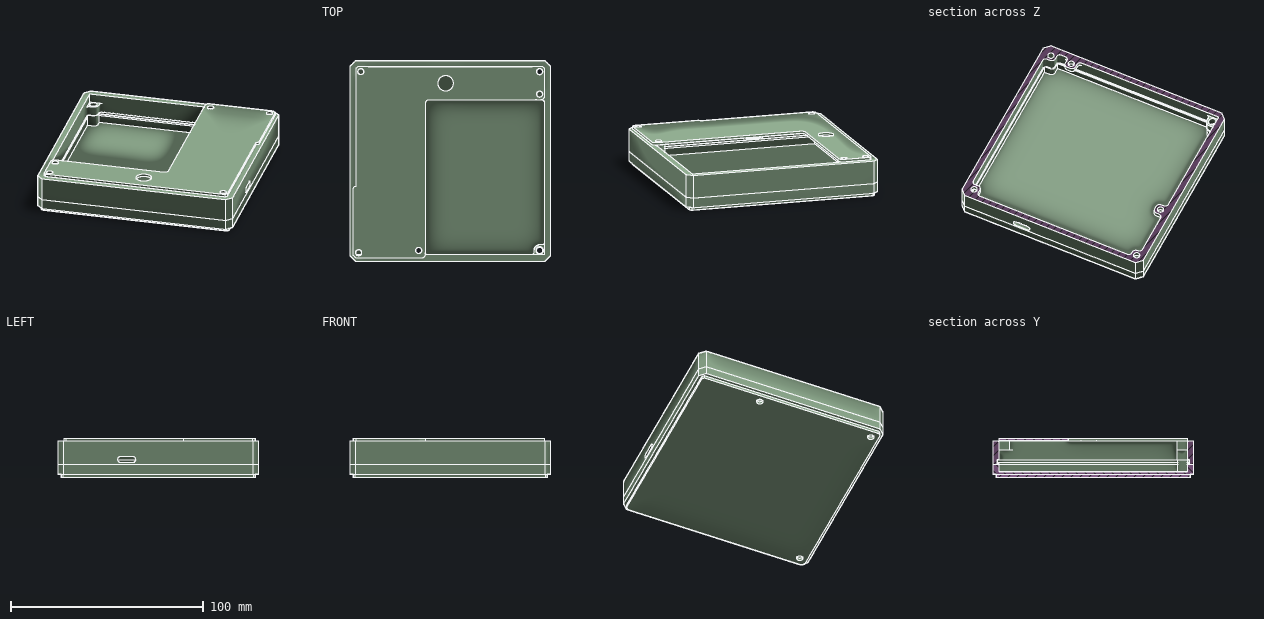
import cadquery as cq
import math

CASE_SIDE = 104.5
CASE_HALF = CASE_SIDE / 2
CASE_CHAMFER = 3.0

PLATE_THICK = 1.8
TRAY_HEIGHT = 5.2
RING_HEIGHT = 12.1
COVER_THICK = 1.4

TRAY_Z = PLATE_THICK
SEAM_Z = TRAY_Z + TRAY_HEIGHT
RIM_Z = SEAM_Z + RING_HEIGHT

WALL = 3.2
SOUTH_WALL = 3.6
EAST_FACE = CASE_HALF - WALL
NORTH_FACE = CASE_HALF - WALL
WEST_FACE = -CASE_HALF + WALL
SOUTH_FACE = -CASE_HALF + SOUTH_WALL
FLOOR_THICK = 1.5
FLOOR_Z = TRAY_Z + FLOOR_THICK

LIP_THICK = 0.4
LIP_CLEARANCE = 0.4
LIP_HEIGHT = 1.0
RECESS_HEIGHT = 2.3
LIP_Z = SEAM_Z + LIP_HEIGHT
RECESS_Z = SEAM_Z + RECESS_HEIGHT

PLATE_INSET = 1.8
PLATE_HALF = CASE_HALF - PLATE_INSET
PLATE_CHAMFER = 1.0

COVER_EDGE = 49.1
COVER_WIDE_EDGE = PLATE_HALF
COVER_STEP_Y = -13.2
COVER_LEG_X = -13.0
COVER_ARM_Y = 31.9
COVER_CHAMFER = 1.0
COVER_WIDE_CHAMFER = 1.5
COVER_FILLET = 2.0
COVER_STEP_FILLET = 1.3
WINDOW_DIAMETER = 8.0
WINDOW_CENTER = (-2.4, 40.5)

SCREW_OFFSET = 46.5
SOUTH_WEST_OFFSET = 47.7
NORTH_WEST = (-SCREW_OFFSET, SCREW_OFFSET)
NORTH_EAST = (SCREW_OFFSET, SCREW_OFFSET)
EAST = (SCREW_OFFSET, 34.8)
SOUTH_WEST = (-SOUTH_WEST_OFFSET, -SOUTH_WEST_OFFSET)
SOUTH = (-16.4, -SCREW_OFFSET)
SOUTH_EAST = (SCREW_OFFSET, -SCREW_OFFSET)
COVER_SCREWS = (NORTH_WEST, NORTH_EAST, EAST, SOUTH_WEST, SOUTH)
CASE_SCREWS = (NORTH_EAST, SOUTH_EAST, SOUTH)

COVER_HOLE_DIAMETER = 3.2
PILOT_DIAMETER = 3.0
CASE_HOLE_DIAMETER = 3.2
INSERT_DIAMETER = 4.0

COVER_BOSS = (3.0, 2.1, 1.6)
INSERT_BOSS = (3.0, 3.0, 1.0)
TRAY_BOSS = (2.6, 2.1, 0.0)
BOSS_LENGTH = 4.7
BOSS_END_Z = RIM_Z - BOSS_LENGTH

SLOT_LENGTH = 9.4
SLOT_HEIGHT = 3.1
SLOT_Y = 16.4
SLOT_Z = 9.5


def chamfered_block(half, chamfer, z_bottom, z_top):
    block = cq.Workplane("XY").workplane(offset=z_bottom).rect(2 * half, 2 * half).extrude(z_top - z_bottom)
    return block.edges("|Z").chamfer(chamfer)


def cavity(z_bottom, z_top, margin=0.0):
    """Space between the wall faces, widened on all sides by the margin."""
    size_x = EAST_FACE - WEST_FACE + 2 * margin
    size_y = NORTH_FACE - SOUTH_FACE + 2 * margin
    middle = ((EAST_FACE + WEST_FACE) / 2, (NORTH_FACE + SOUTH_FACE) / 2)
    start = cq.Workplane("XY").workplane(offset=z_bottom).center(*middle)
    return start.rect(size_x, size_y).extrude(z_top - z_bottom)


def hole(center, diameter, z_bottom, z_top):
    start = cq.Workplane("XY").workplane(offset=z_bottom).center(*center)
    return start.circle(diameter / 2).extrude(z_top - z_bottom)


def add_quarter_arc(path, start, end, center):
    """Continue the path from start to end with a quarter circle about the center."""
    if start == end:
        return path
    middle_x = center[0] + (start[0] + end[0] - 2 * center[0]) * math.sqrt(0.5)
    middle_y = center[1] + (start[1] + end[1] - 2 * center[1]) * math.sqrt(0.5)
    return path.threePointArc((middle_x, middle_y), end)


def corner_boss(center, shape, z_bottom, z_top):
    """Boss that fills a corner of the cavity: one rounded corner, and a flare at each wall."""
    half, corner, flare = shape
    side_x = math.copysign(1, center[0])
    side_y = math.copysign(1, center[1])
    wall_x = EAST_FACE if side_x > 0 else WEST_FACE
    wall_y = NORTH_FACE if side_y > 0 else SOUTH_FACE
    face_x = center[0] - side_x * half
    face_y = center[1] - side_y * half
    round_x = face_x + side_x * corner
    round_y = face_y + side_y * corner
    flare_x = side_x * flare
    flare_y = side_y * flare

    path = cq.Workplane("XY").workplane(offset=z_bottom).moveTo(wall_x, wall_y)
    path = path.lineTo(wall_x, face_y - flare_y)
    path = add_quarter_arc(
        path, (wall_x, face_y - flare_y), (wall_x - flare_x, face_y), (wall_x - flare_x, face_y - flare_y)
    )
    path = path.lineTo(round_x, face_y)
    path = add_quarter_arc(path, (round_x, face_y), (face_x, round_y), (round_x, round_y))
    path = path.lineTo(face_x, wall_y - flare_y)
    path = add_quarter_arc(
        path, (face_x, wall_y - flare_y), (face_x - flare_x, wall_y), (face_x - flare_x, wall_y - flare_y)
    )
    return path.close().extrude(z_top - z_bottom)


def side_boss(center, shape, reach, turn, z_bottom, z_top):
    """Boss that stands out from one wall; turn is the direction of that wall, in degrees from +X."""
    half, corner, flare = shape
    tip = -half
    round_x = tip + corner
    round_y = half - corner
    flare_x = reach - flare
    flare_y = half + flare

    path = cq.Workplane("XY").moveTo(reach, -flare_y)
    path = add_quarter_arc(path, (reach, -flare_y), (flare_x, -half), (flare_x, -flare_y))
    path = path.lineTo(round_x, -half)
    path = add_quarter_arc(path, (round_x, -half), (tip, -round_y), (round_x, -round_y))
    path = path.lineTo(tip, round_y)
    path = add_quarter_arc(path, (tip, round_y), (round_x, half), (round_x, round_y))
    path = path.lineTo(flare_x, half)
    path = add_quarter_arc(path, (flare_x, half), (reach, flare_y), (flare_x, flare_y))
    boss = path.close().extrude(z_top - z_bottom)
    return boss.rotate((0, 0, 0), (0, 0, 1), turn).translate((center[0], center[1], z_bottom))


def make_plate():
    plate = chamfered_block(PLATE_HALF, PLATE_CHAMFER, 0, PLATE_THICK)
    for center in CASE_SCREWS:
        plate = plate.cut(hole(center, CASE_HOLE_DIAMETER, 0, PLATE_THICK))
    return plate


def make_tray():
    tray = chamfered_block(CASE_HALF, CASE_CHAMFER, TRAY_Z, SEAM_Z)
    tray = tray.union(cavity(SEAM_Z, LIP_Z, LIP_THICK))
    tray = tray.cut(cavity(FLOOR_Z, LIP_Z))
    for center in (NORTH_EAST, SOUTH_EAST):
        tray = tray.union(corner_boss(center, TRAY_BOSS, FLOOR_Z, RECESS_Z))
    for center in CASE_SCREWS:
        tray = tray.cut(hole(center, CASE_HOLE_DIAMETER, TRAY_Z, RECESS_Z))
    return tray


def make_ring():
    ring = chamfered_block(CASE_HALF, CASE_CHAMFER, SEAM_Z, RIM_Z)
    ring = ring.cut(cavity(SEAM_Z, RECESS_Z, LIP_THICK + LIP_CLEARANCE))
    ring = ring.cut(cavity(RECESS_Z, RIM_Z))

    for center in (NORTH_WEST, SOUTH_WEST):
        ring = ring.union(corner_boss(center, COVER_BOSS, BOSS_END_Z, RIM_Z))
    ring = ring.union(corner_boss(NORTH_EAST, COVER_BOSS, RECESS_Z, RIM_Z))
    ring = ring.union(side_boss(EAST, COVER_BOSS, EAST_FACE - EAST[0], 0, BOSS_END_Z, RIM_Z))
    ring = ring.union(side_boss(SOUTH, COVER_BOSS, SOUTH[1] - SOUTH_FACE, -90, BOSS_END_Z, RIM_Z))
    ring = ring.union(corner_boss(SOUTH_EAST, INSERT_BOSS, RECESS_Z, BOSS_END_Z))

    for center in COVER_SCREWS:
        ring = ring.cut(hole(center, PILOT_DIAMETER, RECESS_Z, RIM_Z))
    ring = ring.cut(hole(SOUTH_EAST, INSERT_DIAMETER, RECESS_Z, BOSS_END_Z))
    return ring.cut(west_slot())


def west_slot():
    start = cq.Workplane("YZ").workplane(offset=-CASE_HALF).center(SLOT_Y, SLOT_Z)
    return start.slot2D(SLOT_LENGTH, SLOT_HEIGHT).extrude(WALL)


def cover_outline():
    return [
        (-COVER_EDGE, COVER_EDGE),
        (COVER_EDGE, COVER_EDGE),
        (COVER_EDGE, COVER_ARM_Y),
        (COVER_LEG_X, COVER_ARM_Y),
        (COVER_LEG_X, -COVER_WIDE_EDGE),
        (-COVER_WIDE_EDGE, -COVER_WIDE_EDGE),
        (-COVER_WIDE_EDGE, COVER_STEP_Y),
        (-COVER_EDGE, COVER_STEP_Y),
    ]


def make_cover():
    cover = cq.Workplane("XY").workplane(offset=RIM_Z).polyline(cover_outline()).close().extrude(COVER_THICK)

    def upright_edge(body, x, y):
        nearest = cq.selectors.NearestToPointSelector((x, y, RIM_Z + COVER_THICK / 2))
        return body.edges("|Z").edges(nearest)

    for x, y in ((-COVER_EDGE, COVER_EDGE), (COVER_EDGE, COVER_EDGE)):
        cover = upright_edge(cover, x, y).chamfer(COVER_CHAMFER)
    cover = upright_edge(cover, -COVER_WIDE_EDGE, -COVER_WIDE_EDGE).chamfer(COVER_WIDE_CHAMFER)
    for x, y in (
        (COVER_EDGE, COVER_ARM_Y),
        (COVER_LEG_X, COVER_ARM_Y),
        (COVER_LEG_X, -COVER_WIDE_EDGE),
    ):
        cover = upright_edge(cover, x, y).fillet(COVER_FILLET)
    cover = upright_edge(cover, -COVER_WIDE_EDGE, COVER_STEP_Y).fillet(COVER_STEP_FILLET)

    for center in COVER_SCREWS:
        cover = cover.cut(hole(center, COVER_HOLE_DIAMETER, RIM_Z, RIM_Z + COVER_THICK))
    return cover.cut(hole(WINDOW_CENTER, WINDOW_DIAMETER, RIM_Z, RIM_Z + COVER_THICK))


plate = make_plate()
tray = make_tray()
ring = make_ring()
cover = make_cover()
result = cq.Compound.makeCompound([plate.val(), tray.val(), ring.val(), cover.val()])